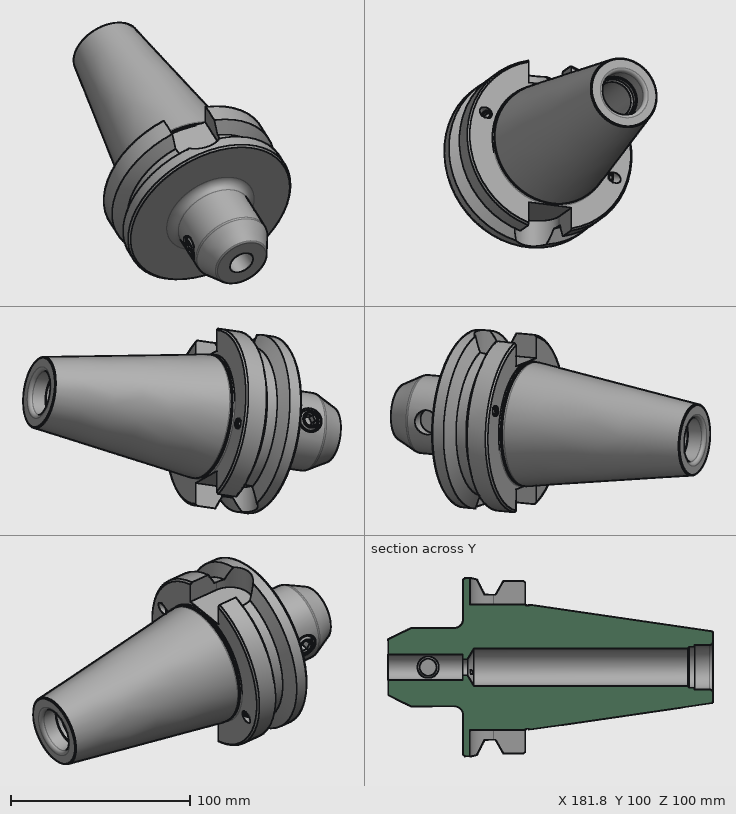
import cadquery as cq
import math

LENGTH = 181.8

TAPER_LENGTH = 101.8
TAPER_LARGE_R = 34.9
TAPER_RATIO = 7 / 48
RELIEF_START_X = 103.0
RELIEF_R = 34.5
TAPER_SMALL_R = TAPER_LARGE_R - TAPER_LENGTH * TAPER_RATIO
TAPER_END_CHAMFER = 0.5

FLANGE_R = 50.0
FLANGE_START_X = 104.9
FLANGE_END_X = 139.8
FLANGE_CHAMFER = 1.0
FLANGE_ROOT_FILLET = 0.7
GROOVE_START_X = 117.3
GROOVE_END_X = 132.0
GROOVE_R = 42.5
GROOVE_FLOOR_START_X = 121.6
GROOVE_FLOOR_END_X = 127.8

NOSE_R = 22.0
NOSE_ROOT_FILLET = 4.9
NOSE_CONE_START_X = 168.7
NOSE_TIP_R = 15.6
NOSE_CONE_BLEND = 2.5
NOSE_TIP_FILLET = 1.0

SLOT_WIDTH = 25.8
SLOT_FLOOR_Z = 35.0
SLOT_END_X = 135.8

MOUTH_FILLET = 2.2
COUNTERBORE_R = 12.4
COUNTERBORE_END_X = 10.4
LEAD_R = 11.5
LEAD_END_X = 13.3
DRAWBAR_R = 10.4
DRILL_POINT_HALF_ANGLE = 59.0
NECK_R = 4.4
NECK_START_X = 137.3
TOOL_BORE_R = 7.0
TOOL_BORE_START_X = 140.0

COOLANT_PLANE_ANGLE = 20.0
PORT_TILT = 40.0
PORT_ENTRY_R = 41.6
PORT_D = 5.8
PORT_DEPTH = 2.5
PLUG_SOCKET_FLATS = 3.6
PLUG_SOCKET_DEPTH = 2.2
JET_R = 8.0
JET_D = 2.5
JET_DEPTH = 3.6

SCREW_X = 159.3
SCREW_D = 12.0
SCREW_HOLE_MOUTH_D = 14.0
SCREW_HEAD_Y = -21.8
SCREW_TIP_Y = -5.8
SCREW_CHAMFER = 1.3
SOCKET_FLATS = 6.0
SOCKET_DEPTH = 5.5
SOCKET_SINK_D = 8.0
SOCKET_TURN = 30.0
BALANCE_X = 156.5
BALANCE_D = 13.8
BALANCE_DEPTH = 7.3


def revolve_about_x(profile):
    """Revolve a closed (x, radius) outline about the X axis."""
    return profile.close().revolve(360, (0, 0, 0), (1, 0, 0))


def taper_and_flange():
    outline = (
        cq.Workplane("XZ")
        .moveTo(0, 0)
        .lineTo(0, TAPER_SMALL_R - TAPER_END_CHAMFER)
        .lineTo(TAPER_END_CHAMFER, TAPER_SMALL_R + TAPER_END_CHAMFER * TAPER_RATIO)
        .lineTo(TAPER_LENGTH, TAPER_LARGE_R)
        .lineTo(RELIEF_START_X, TAPER_LARGE_R)
        .lineTo(RELIEF_START_X, RELIEF_R)
        .lineTo(FLANGE_START_X - FLANGE_ROOT_FILLET, RELIEF_R)
        .radiusArc((FLANGE_START_X, RELIEF_R + FLANGE_ROOT_FILLET), -FLANGE_ROOT_FILLET)
        .lineTo(FLANGE_START_X, FLANGE_R - FLANGE_CHAMFER)
        .lineTo(FLANGE_START_X + FLANGE_CHAMFER, FLANGE_R)
        .lineTo(GROOVE_START_X, FLANGE_R)
        .lineTo(GROOVE_FLOOR_START_X, GROOVE_R)
        .lineTo(GROOVE_FLOOR_END_X, GROOVE_R)
        .lineTo(GROOVE_END_X, FLANGE_R)
        .lineTo(FLANGE_END_X - FLANGE_CHAMFER, FLANGE_R)
        .lineTo(FLANGE_END_X, FLANGE_R - FLANGE_CHAMFER)
        .lineTo(FLANGE_END_X, 0)
    )
    return revolve_about_x(outline)


def nose():
    outline = (
        cq.Workplane("XZ")
        .moveTo(FLANGE_END_X, 0)
        .lineTo(FLANGE_END_X, NOSE_R + NOSE_ROOT_FILLET)
        .radiusArc((FLANGE_END_X + NOSE_ROOT_FILLET, NOSE_R), -NOSE_ROOT_FILLET)
        .lineTo(NOSE_CONE_START_X, NOSE_R)
        .lineTo(LENGTH, NOSE_TIP_R)
        .lineTo(LENGTH, 0)
    )
    body = revolve_about_x(outline)
    body = body.faces(">X").edges().fillet(NOSE_TIP_FILLET)
    cone_start = cq.selectors.NearestToPointSelector((NOSE_CONE_START_X, 0, 0))
    return body.edges("%CIRCLE").edges(cone_start).fillet(NOSE_CONE_BLEND)


def drive_slot(side):
    """Cutter for one round-ended slot; side is +1 for +Z and -1 for -Z."""
    half = SLOT_WIDTH / 2
    outline = (
        cq.Workplane("XY", origin=(0, 0, side * SLOT_FLOOR_Z))
        .moveTo(TAPER_LENGTH, -half)
        .lineTo(SLOT_END_X - half, -half)
        .threePointArc((SLOT_END_X, 0), (SLOT_END_X - half, half))
        .lineTo(TAPER_LENGTH, half)
        .close()
    )
    return outline.extrude(side * FLANGE_R)


def bore():
    cone_start = NECK_START_X - (DRAWBAR_R - NECK_R) / math.tan(math.radians(DRILL_POINT_HALF_ANGLE))
    outline = (
        cq.Workplane("XZ")
        .moveTo(0, 0)
        .lineTo(0, COUNTERBORE_R + MOUTH_FILLET)
        .radiusArc((MOUTH_FILLET, COUNTERBORE_R), -MOUTH_FILLET)
        .lineTo(COUNTERBORE_END_X, COUNTERBORE_R)
        .lineTo(COUNTERBORE_END_X, LEAD_R)
        .lineTo(LEAD_END_X, LEAD_R)
        .lineTo(LEAD_END_X + LEAD_R - DRAWBAR_R, DRAWBAR_R)
        .lineTo(cone_start, DRAWBAR_R)
        .lineTo(NECK_START_X, NECK_R)
        .lineTo(TOOL_BORE_START_X, NECK_R)
        .lineTo(TOOL_BORE_START_X, TOOL_BORE_R)
        .lineTo(LENGTH, TOOL_BORE_R)
        .lineTo(LENGTH, 0)
    )
    return revolve_about_x(outline)


def port_plane(depth):
    """Workplane across the tilted port in the +Y half, at a depth along the port axis."""
    tilt = math.radians(PORT_TILT)
    inward = cq.Vector(math.cos(tilt), -math.sin(tilt), 0)
    entry = cq.Vector(FLANGE_START_X, PORT_ENTRY_R, 0)
    return cq.Workplane(cq.Plane(origin=entry + inward * depth, xDir=(0, 0, 1), normal=inward))


def coolant_port():
    """Cutter for the tilted port with the hexagon socket of its plug in the floor."""
    port = port_plane(-PORT_D).circle(PORT_D / 2).extrude(PORT_D + PORT_DEPTH)
    socket = port_plane(PORT_DEPTH).polygon(6, PLUG_SOCKET_FLATS, circumscribed=True)
    return port.union(socket.extrude(PLUG_SOCKET_DEPTH))


def jet_hole():
    """Cutter for the drilled hole that starts in the bore cone of the +Y half, parallel to X."""
    radius = JET_D / 2
    drill_point = math.radians(DRILL_POINT_HALF_ANGLE)
    bottom = NECK_START_X + JET_DEPTH - (JET_R - NECK_R) / math.tan(drill_point)
    point = bottom + radius / math.tan(drill_point)
    outline = (
        cq.Workplane("XY")
        .moveTo(bottom - 2 * JET_DEPTH, JET_R)
        .lineTo(bottom - 2 * JET_DEPTH, JET_R + radius)
        .lineTo(bottom, JET_R + radius)
        .lineTo(point, JET_R)
        .close()
    )
    return outline.revolve(360, (0, JET_R, 0), (1, JET_R, 0))


def along_y(x, y):
    """Workplane centred at (x, y) whose extrusions run toward +Y."""
    return cq.Workplane(cq.Plane(origin=(x, y, 0), xDir=(1, 0, 0), normal=(0, 1, 0)))


def screw_hole():
    depth = (SCREW_HOLE_MOUTH_D - SCREW_D) / 2
    seat_y = -math.sqrt(NOSE_R**2 - (SCREW_HOLE_MOUTH_D / 2) ** 2)
    mouth = along_y(SCREW_X, -NOSE_R).circle(SCREW_HOLE_MOUTH_D / 2).extrude(seat_y + NOSE_R)
    sink = (
        along_y(SCREW_X, seat_y)
        .circle(SCREW_HOLE_MOUTH_D / 2)
        .workplane(offset=depth)
        .circle(SCREW_D / 2)
        .loft()
    )
    shaft = along_y(SCREW_X, -NOSE_R).circle(SCREW_D / 2).extrude(NOSE_R)
    return shaft.union(mouth).union(sink)


def balance_hole():
    return along_y(BALANCE_X, NOSE_R - BALANCE_DEPTH).circle(BALANCE_D / 2).extrude(2 * BALANCE_DEPTH)


def make_holder():
    body = taper_and_flange().union(nose())
    for side in (1, -1):
        body = body.cut(drive_slot(side))
    body = body.cut(bore())
    for half_turn in (0, 180):
        turn = COOLANT_PLANE_ANGLE + half_turn
        for cutter in (coolant_port(), jet_hole()):
            body = body.cut(cutter.rotate((0, 0, 0), (1, 0, 0), turn))
    return body.cut(screw_hole()).cut(balance_hole())


def make_screw():
    body = along_y(SCREW_X, SCREW_HEAD_Y).circle(SCREW_D / 2).extrude(SCREW_TIP_Y - SCREW_HEAD_Y)
    body = body.faces("<Y or >Y").chamfer(SCREW_CHAMFER)
    socket = along_y(SCREW_X, SCREW_HEAD_Y).polygon(6, SOCKET_FLATS, circumscribed=True).extrude(SOCKET_DEPTH)
    socket = socket.rotate((SCREW_X, 0, 0), (SCREW_X, 1, 0), SOCKET_TURN)
    sink_depth = (SOCKET_SINK_D - SOCKET_FLATS) / 2
    sink = cq.Solid.makeCone(
        SOCKET_SINK_D / 2,
        SOCKET_FLATS / 2,
        sink_depth,
        cq.Vector(SCREW_X, SCREW_HEAD_Y, 0),
        cq.Vector(0, 1, 0),
    )
    return body.cut(socket).cut(cq.Workplane(sink))


holder = make_holder()
clamping_screw = make_screw()
result = cq.Compound.makeCompound([holder.val(), clamping_screw.val()])